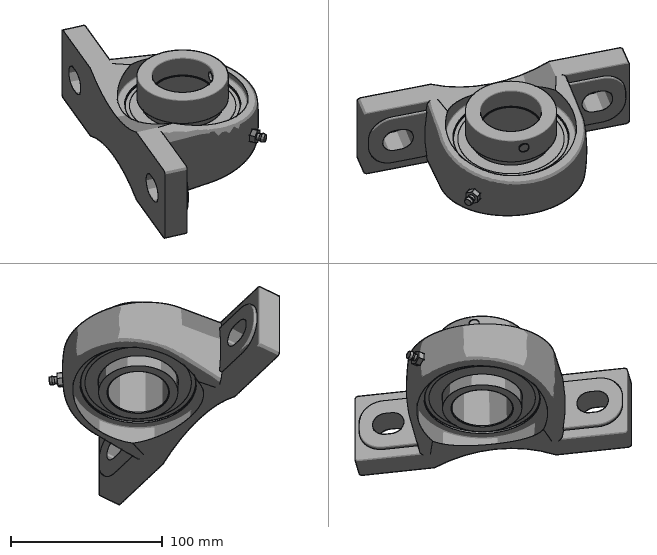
import cadquery as cq
import math


margin = 1.8

foot_length = 183.0
foot_width = 53.8
foot_height = 16.1
axis_height = 49.2
foot_corner_radius = 2.5
foot_edge_radius = 1.1
foot_bottom = -axis_height
foot_top = foot_bottom + foot_height

pad_length = 176.6
pad_width = 38.8
pad_rise = 2.0
pad_corner_radius = 16.3
pad_edge_radius = 1.0

slot_spacing = 137.0
slot_length = 21.0
slot_width = 17.0

waist_chord = 81.5
waist_half_width = 17.0
waist_corner_radius = 1.8

shell_radius = 50.1
shell_half_width = 22.0
face_slope = 8.3
shell_edge_radius = 2.7
crown_reach = 29.3
crown_drop = 3.3

counterbore_diameter = 86.4
counterbore_corner_radius = 1.1
seat_half_width = 11.5

ball_seat_diameter = 80.0
outer_ring_half_width = 10.5
outer_ring_bore = 67.0
outer_ring_chamfer = 0.7
seal_diameter = 70.3
seal_bore = 53.0
seal_thickness = 1.5
inner_ring_diameter = 52.3
inner_ring_bottom = -19.0
inner_ring_top = 20.9
shaft_diameter = 40.0
inner_ring_chamfer = 0.5

collar_diameter = 60.4
collar_bottom = 16.1
collar_top = 34.8
collar_edge_radius = 0.7
collar_bore_radius = 1.0

screw_diameter = 6.8
screw_height = 28.2
screw_inner_end = 25.6
screw_outer_end = 31.0

nipple_angle = 45.0
nipple_hex_flats = 8.5
nipple_seat = 48.5
nipple_hex_end = 53.8
nipple_neck_diameter = 4.8
nipple_neck_end = 55.8
nipple_head_diameter = 6.0
nipple_head_widest = 57.3
nipple_tip_diameter = 5.0
nipple_tip = 59.3


def ring(outer_diameter, inner_diameter, bottom, top):
    """Plain ring about the Z axis."""
    return (
        cq.Workplane("XY", origin=(0, 0, bottom))
        .circle(outer_diameter / 2)
        .circle(inner_diameter / 2)
        .extrude(top - bottom)
    )


def cylinder(diameter, bottom, top):
    """Solid cylinder about the Z axis."""
    return cq.Workplane("XY", origin=(0, 0, bottom)).circle(diameter / 2).extrude(top - bottom)


def make_foot():
    """Foot plate with its raised pad."""
    plate = (
        cq.Workplane("XZ", origin=(0, foot_bottom, 0))
        .rect(foot_length, foot_width)
        .extrude(-foot_height)
        .edges("|Y")
        .fillet(foot_corner_radius)
        .faces(">Y")
        .edges()
        .fillet(foot_edge_radius)
    )
    pad = (
        cq.Workplane("XZ", origin=(0, foot_bottom, 0))
        .rect(pad_length, pad_width)
        .extrude(-foot_height - pad_rise)
        .edges("|Y")
        .fillet(pad_corner_radius)
        .faces(">Y")
        .edges()
        .fillet(pad_edge_radius)
    )
    return plate.union(pad)


def make_arch():
    """Arch with crowned outer walls: a turned drum with a straight leg down into the foot."""
    edge_radius = shell_radius - crown_drop
    drum = (
        cq.Workplane("XZ")
        .moveTo(0, -crown_reach)
        .lineTo(edge_radius, -crown_reach)
        .threePointArc((shell_radius, 0), (edge_radius, crown_reach))
        .lineTo(0, crown_reach)
        .close()
        .revolve(360, (0, 0, 0), (0, 1, 0))
    )
    leg = (
        cq.Workplane("XZ")
        .moveTo(-edge_radius, -crown_reach)
        .lineTo(edge_radius, -crown_reach)
        .threePointArc((shell_radius, 0), (edge_radius, crown_reach))
        .lineTo(-edge_radius, crown_reach)
        .threePointArc((-shell_radius, 0), (-edge_radius, -crown_reach))
        .close()
        .extrude(axis_height - foot_height / 2)
    )
    below_axis = cq.Workplane("XY").box(
        foot_length, shell_radius * 2, foot_width * 2, centered=(True, False, True)
    ).translate((0, -shell_radius * 2, 0))
    return drum.cut(below_axis).union(leg)


def half_width_at(y):
    """Half thickness of the shell between its two sloping faces."""
    return shell_half_width - y * math.tan(math.radians(face_slope))


def make_shell():
    """Arch that narrows away from the foot, with rounded rims."""
    top = shell_radius + margin
    wedge = (
        cq.Workplane("YZ")
        .polyline([
            (foot_bottom, -half_width_at(foot_bottom)),
            (top, -half_width_at(top)),
            (top, half_width_at(top)),
            (foot_bottom, half_width_at(foot_bottom)),
        ])
        .close()
        .extrude(shell_radius + margin, both=True)
    )
    arch = make_arch().intersect(wedge)
    arch = arch.faces("<Z or >Z").edges("not <Y").fillet(shell_edge_radius)
    slab = cq.Workplane("XY").box(foot_length, foot_length, foot_width)
    return arch.intersect(slab)


def cut_waist(body):
    """Hollow both faces with cylinders whose axes run along Y."""
    rise = foot_width / 2 - waist_half_width
    radius = ((waist_chord / 2) ** 2 + rise**2) / (2 * rise)
    for side in (1, -1):
        hollow = (
            cq.Workplane("XZ", origin=(0, foot_bottom, 0))
            .center(0, side * (waist_half_width + radius))
            .circle(radius)
            .extrude(-axis_height - shell_radius)
        )
        body = body.cut(hollow)
    corners = body.edges(cq.selectors.BoxSelector(
        (-waist_chord / 2 - margin, foot_bottom, -foot_width),
        (waist_chord / 2 + margin, foot_top, foot_width),
    )).edges("|Y")
    return body.newObject(corners.vals()).fillet(waist_corner_radius)


def cut_slots(body):
    slots = (
        cq.Workplane("XZ", origin=(0, foot_bottom, 0))
        .pushPoints([(-slot_spacing / 2, 0), (slot_spacing / 2, 0)])
        .slot2D(slot_length, slot_width)
        .extrude(-axis_height)
    )
    return body.cut(slots)


def cut_bearing_seat(body):
    """Spherical seat with a round-cornered counterbore on each side."""
    body = body.cut(cq.Workplane("XY").sphere(ball_seat_diameter / 2))
    upper = (
        cylinder(counterbore_diameter, seat_half_width, foot_width)
        .faces("<Z")
        .edges()
        .fillet(counterbore_corner_radius)
    )
    return body.cut(upper).cut(upper.mirror("XY"))


def make_housing(nipple):
    """Foot and arch with the waist, slots, bearing seat and nipple pocket cut out."""
    body = make_foot().union(make_shell())
    body = cut_waist(body)
    body = cut_slots(body)
    body = cut_bearing_seat(body)
    return body.cut(nipple)


def make_outer_ring():
    """Spherical outer ring, recessed on both sides for the seals."""
    blank = ring(ball_seat_diameter, outer_ring_bore, -outer_ring_half_width, outer_ring_half_width)
    blank = blank.intersect(cq.Workplane("XY").sphere(ball_seat_diameter / 2))
    rims = blank.edges(cq.selectors.RadiusNthSelector(1))
    blank = blank.newObject(rims.vals()).chamfer(outer_ring_chamfer)
    seat_bottom = outer_ring_half_width - seal_thickness
    recess = cylinder(seal_diameter, seat_bottom, outer_ring_half_width)
    return blank.cut(recess).cut(recess.mirror("XY"))


def make_seals():
    upper = ring(seal_diameter, seal_bore, outer_ring_half_width - seal_thickness, outer_ring_half_width)
    return [upper, upper.mirror("XY")]


def make_inner_ring():
    """Inner ring with bevelled bore mouths."""
    body = ring(inner_ring_diameter, shaft_diameter, inner_ring_bottom, inner_ring_top)
    return body.edges(cq.selectors.RadiusNthSelector(0)).chamfer(inner_ring_chamfer)


def make_collar():
    """Locking collar with a socket for the inner ring and a set-screw hole."""
    body = ring(collar_diameter, shaft_diameter, collar_bottom, collar_top)
    body = body.edges(cq.selectors.RadiusNthSelector(1)).fillet(collar_edge_radius)
    body = body.faces(">Z").edges(cq.selectors.RadiusNthSelector(0)).fillet(collar_bore_radius)
    body = body.cut(cylinder(inner_ring_diameter, collar_bottom, inner_ring_top))
    return body.cut(screw_cylinder(0, screw_outer_end))


def screw_cylinder(start, end):
    """Cylinder along +Y at the height of the set screw."""
    return (
        cq.Workplane("XZ", origin=(0, start, screw_height))
        .circle(screw_diameter / 2)
        .extrude(start - end)
    )


def make_nipple():
    """Hexagon, neck and tapered head, built along +Y and swung to its place on the arch."""
    hexagon = (
        cq.Workplane("XZ", origin=(0, nipple_seat, 0))
        .polygon(6, nipple_hex_flats, circumscribed=True)
        .extrude(nipple_seat - nipple_hex_end)
    )
    stem = (
        cq.Workplane("XY")
        .moveTo(0, nipple_seat)
        .lineTo(nipple_neck_diameter / 2, nipple_seat)
        .lineTo(nipple_neck_diameter / 2, nipple_neck_end)
        .lineTo(nipple_head_diameter / 2, nipple_head_widest)
        .lineTo(nipple_tip_diameter / 2, nipple_tip)
        .lineTo(0, nipple_tip)
        .close()
        .revolve(360, (0, 0, 0), (0, 1, 0))
    )
    return hexagon.union(stem).rotate((0, 0, 0), (0, 0, 1), -nipple_angle)


nipple = make_nipple()
housing = make_housing(nipple)
outer_ring = make_outer_ring()
inner_ring = make_inner_ring()
seals = make_seals()
set_screw = screw_cylinder(screw_inner_end, screw_outer_end)
collar = make_collar()

result = cq.Compound.makeCompound([
    housing.val(),
    outer_ring.val(),
    inner_ring.val(),
    *[seal.val() for seal in seals],
    collar.val(),
    set_screw.val(),
    nipple.val(),
])